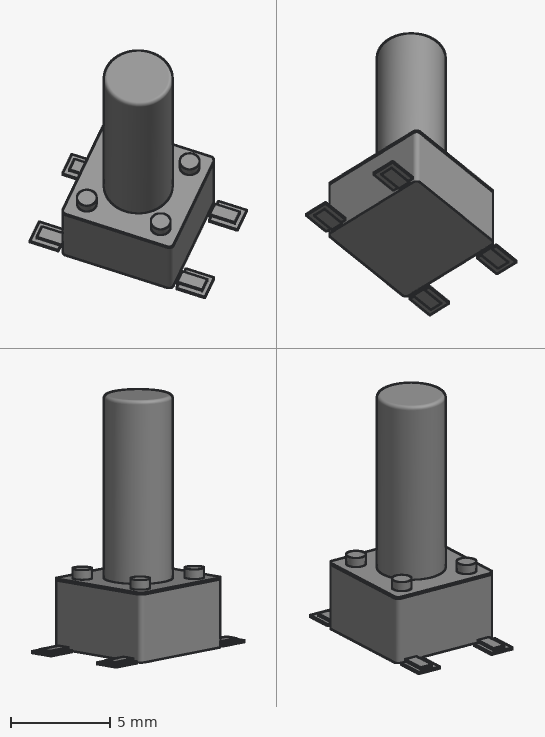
import cadquery as cq

total_height = 13.0
terminal_span = 9.5

body_side = 6.0
body_height = 3.6
corner_radius = 0.25
cover_thickness = 0.1
housing_height = body_height - cover_thickness

button_diameter = 3.5
button_edge_radius = 0.2
button_length = total_height - body_height

rivet_diameter = 1.0
rivet_height = 0.5
rivet_offset = 2.0

pad_length = 1.55
pad_width = 1.3
pad_thickness = 0.1
lead_length = 1.36
lead_width = 0.7
lead_thickness = 0.21
lead_setback = 0.26
terminal_offset_y = 2.25
pad_outer_x = terminal_span / 2
lead_outer_x = pad_outer_x - lead_setback

CORNERS = [(side_x, side_y) for side_x in (-1, 1) for side_y in (-1, 1)]


def rounded_block(bottom, height):
    """Square block with rounded upright edges."""
    return (
        cq.Workplane("XY", origin=(0, 0, bottom))
        .rect(body_side, body_side)
        .extrude(height)
        .edges("|Z")
        .fillet(corner_radius)
    )


def make_rivet(side_x, side_y):
    """Rivet head standing on one corner of the cover."""
    centre = (side_x * rivet_offset, side_y * rivet_offset, body_height)
    return cq.Workplane("XY", origin=centre).circle(rivet_diameter / 2).extrude(rivet_height)


def make_button():
    """Long round push button with a rounded top edge."""
    return (
        cq.Workplane("XY", origin=(0, 0, body_height))
        .circle(button_diameter / 2)
        .extrude(button_length)
        .faces(">Z")
        .edges()
        .fillet(button_edge_radius)
    )


def make_cover():
    """Thin cover plate carrying the push button and the four rivet heads."""
    cover = rounded_block(housing_height, cover_thickness).union(make_button())
    for corner in CORNERS:
        cover = cover.union(make_rivet(*corner))
    return cover


def terminal_block(side_x, side_y, outer_x, length, width, thickness):
    """Flat block on the base plane that runs inward from its outer end."""
    centre = (side_x * (outer_x - length / 2), side_y * terminal_offset_y, 0)
    return cq.Workplane("XY", origin=centre).rect(length, width).extrude(thickness)


def make_lead(side_x, side_y):
    """Narrow lead whose inner end stands out of the pad."""
    return terminal_block(side_x, side_y, lead_outer_x, lead_length, lead_width, lead_thickness)


def make_pad(side_x, side_y):
    """Wide thin pad with a notch that the lead fills."""
    pad = terminal_block(side_x, side_y, pad_outer_x, pad_length, pad_width, pad_thickness)
    return pad.cut(make_lead(side_x, side_y))


housing = rounded_block(0, housing_height)
cover = make_cover()
leads = [make_lead(*corner).val() for corner in CORNERS]
pads = [make_pad(*corner).val() for corner in CORNERS]

result = cq.Compound.makeCompound([housing.val(), cover.val(), *leads, *pads])